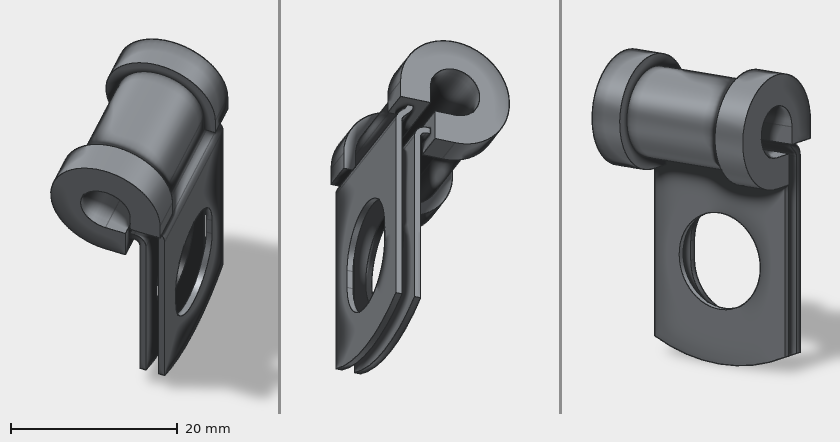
import cadquery as cq
import math


total_length = 22.1
flange_width = 4.05
flange_diameter = 14.1
flange_radius = flange_diameter / 2
bore_radius = 3.2
upper_lip_drop = 2.15
lower_lip_reach = 2.6

strap_thickness = 0.8
strap_width = 19.1
band_outer_radius = 5.55
band_radius = band_outer_radius - strap_thickness / 2
bend_radius = 1.15
near_leg_outer_x = 4.65
near_leg_x = near_leg_outer_x - strap_thickness / 2
far_leg_x = flange_radius - strap_thickness / 2
jog_start_z = -2.45

overall_height = 37.97
leg_bottom_z = flange_radius - overall_height
end_arc_rise = 2.15
hole_diameter = 11.9
hole_z = -18.23
slot_straight = 2.4


def c_profile(outer_radius, length):
    """C-shaped ring with straight tangent lips, centred along Y."""
    diagonal = math.sqrt(0.5)
    return (
        cq.Workplane("XZ")
        .moveTo(outer_radius, -upper_lip_drop)
        .lineTo(outer_radius, 0)
        .threePointArc((-outer_radius * diagonal, outer_radius * diagonal), (0, -outer_radius))
        .lineTo(lower_lip_reach, -outer_radius)
        .lineTo(lower_lip_reach, -bore_radius)
        .lineTo(0, -bore_radius)
        .threePointArc((-bore_radius * diagonal, bore_radius * diagonal), (bore_radius, 0))
        .lineTo(bore_radius, -upper_lip_drop)
        .close()
        .extrude(length / 2, both=True)
    )


def make_cushion():
    cushion = c_profile(band_radius, total_length)
    flange_offset = (total_length - flange_width) / 2
    for side in (-1, 1):
        flange = c_profile(flange_radius, flange_width)
        cushion = cushion.union(flange.translate((0, side * flange_offset, 0)))
    return cushion


def bent_strap():
    """Flat strip swept along its middle line, from the near leg round to the far leg."""
    jog = far_leg_x - band_radius
    jog_end_z = jog_start_z - jog
    setback = bend_radius * math.tan(math.pi / 8)
    diagonal_setback = setback * math.sqrt(0.5)
    band_diagonal = band_radius * math.sqrt(0.5)
    path = (
        cq.Workplane("XZ")
        .moveTo(near_leg_x, leg_bottom_z)
        .lineTo(near_leg_x, -band_radius - bend_radius)
        .tangentArcPoint((near_leg_x - bend_radius, -band_radius), relative=False)
        .lineTo(0, -band_radius)
        .threePointArc((-band_diagonal, band_diagonal), (band_radius, 0))
        .lineTo(band_radius, jog_start_z + setback)
        .tangentArcPoint(
            (band_radius + diagonal_setback, jog_start_z - diagonal_setback), relative=False
        )
        .lineTo(far_leg_x - diagonal_setback, jog_end_z + diagonal_setback)
        .tangentArcPoint((far_leg_x, jog_end_z - setback), relative=False)
        .lineTo(far_leg_x, leg_bottom_z)
    )
    section = cq.Workplane("XY", origin=(near_leg_x, 0, leg_bottom_z))
    return section.rect(strap_thickness, strap_width).sweep(path)


def strap_outline():
    """Side outline of the strap: straight sides and a curved bottom end."""
    half_width = strap_width / 2
    return (
        cq.Workplane("YZ")
        .moveTo(-half_width, flange_radius)
        .lineTo(-half_width, leg_bottom_z + end_arc_rise)
        .threePointArc((0, leg_bottom_z), (half_width, leg_bottom_z + end_arc_rise))
        .lineTo(half_width, flange_radius)
        .close()
        .extrude(flange_radius, both=True)
    )


def make_strap():
    near_hole = (
        cq.Workplane("YZ", origin=(near_leg_x, 0, hole_z))
        .circle(hole_diameter / 2)
        .extrude(strap_thickness, both=True)
    )
    far_slot = (
        cq.Workplane("YZ", origin=(far_leg_x, 0, hole_z))
        .slot2D(hole_diameter + slot_straight, hole_diameter, angle=90)
        .extrude(strap_thickness, both=True)
    )
    return bent_strap().intersect(strap_outline()).cut(near_hole).cut(far_slot)


result = make_cushion().union(make_strap())